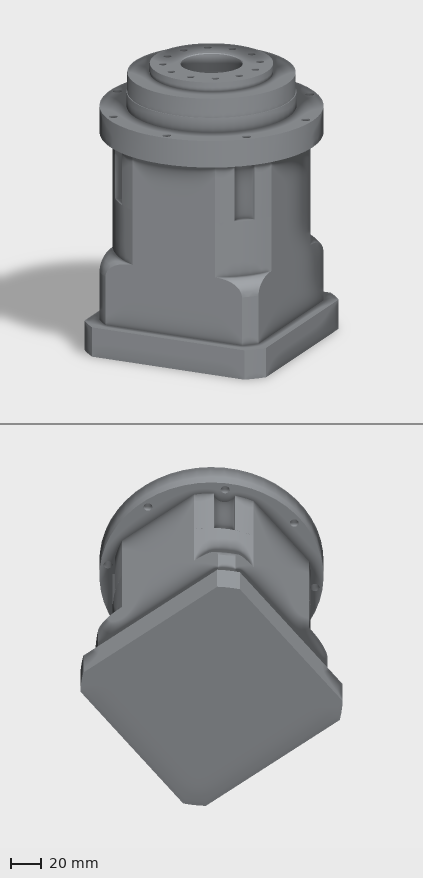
import cadquery as cq
import math

plate_top = 20.0
motor_housing_top = 72.4
ring_top = 100.8
flange_bottom = 141.4
flange_top = 159.5
pilot_top = 169.3
collar_top = 182.3
overall_height = 188.5

plate_width = 130.0
plate_corner_radius = 169.8 / 2

column_width = 113.9
column_corner_radius = 64.0

shoulder_radius = 75.0
shoulder_round = shoulder_radius - column_corner_radius
shoulder_top = 63.7

access_radius = 6.5
access_y = -18.1
access_z = 34.7
access_depth = 18.8
access_end_radius = 13.5

flange_radius = 145.0 / 2
pilot_radius = 55.0
collar_radius = 54.5
output_radius = 40.0

bore_radius = 20.0
bore_depth = 12.0
bore_chamfer = 0.5

output_hole_count = 12
output_hole_circle = 31.5
output_hole_radius = 2.5
output_hole_depth = 9.5
drill_half_angle = 59.0

flange_hole_count = 8
flange_hole_circle = 67.5
flange_hole_radius = 2.8
groove_count = 4
groove_circle = 64.8
groove_radius = 7.0


def cylinder(radius, bottom, top):
    """Round disc on the Z axis between two heights."""
    return cq.Workplane("XY").workplane(offset=bottom).circle(radius).extrude(top - bottom)


def rounded_square(width, corner_radius, bottom, top):
    """Square column whose corners lie on one circle about the Z axis."""
    column = cq.Workplane("XY").workplane(offset=bottom).rect(width, width).extrude(top - bottom)
    return column.intersect(cylinder(corner_radius, bottom, top))


def circle_of_points(radius, count, start_angle=0.0):
    """Points evenly spaced on a circle about the Z axis."""
    angles = [math.radians(start_angle + i * 360 / count) for i in range(count)]
    return [(radius * math.cos(a), radius * math.sin(a)) for a in angles]


def make_adapter_plate():
    """Flat plate at the bottom, wider than the column above it."""
    return rounded_square(plate_width, plate_corner_radius, 0, plate_top)


def access_bore(depth):
    """Straight bore along +X from the -X face of the motor housing."""
    face_x = -column_width / 2
    return cq.Workplane("YZ", origin=(face_x, access_y, access_z)).circle(access_radius).extrude(depth)


def make_access_hole():
    """Bore along +X that stops at a concave, upright cylindrical wall."""
    straight_depth = access_depth - access_end_radius
    end_axis = (straight_depth - column_width / 2, access_y, 0)
    end_cylinder = cylinder(access_end_radius, plate_top, motor_housing_top).translate(end_axis)
    return access_bore(access_depth).intersect(end_cylinder).union(access_bore(straight_depth))


def make_motor_housing():
    """Square column cut to a round envelope that has shouldered corners."""
    shoulder_bottom = shoulder_top - shoulder_round
    arc_offset = shoulder_round * math.sqrt(0.5)
    arc_middle = (column_corner_radius + arc_offset, shoulder_bottom + arc_offset)
    envelope = (
        cq.Workplane("XZ")
        .moveTo(0, plate_top)
        .lineTo(shoulder_radius, plate_top)
        .lineTo(shoulder_radius, shoulder_bottom)
        .threePointArc(arc_middle, (column_corner_radius, shoulder_top))
        .lineTo(column_corner_radius, motor_housing_top)
        .lineTo(0, motor_housing_top)
        .close()
        .revolve(360, (0, 0, 0), (0, 1, 0))
    )
    height = motor_housing_top - plate_top
    column = cq.Workplane("XY").workplane(offset=plate_top).rect(column_width, column_width).extrude(height)
    return column.intersect(envelope).cut(make_access_hole())


def make_ring():
    """Plain section between the motor housing and the output housing."""
    return rounded_square(column_width, column_corner_radius, motor_housing_top, ring_top)


def make_output_hole():
    """Drilled hole with a conical end, at the origin of its pattern."""
    tip_length = output_hole_radius / math.tan(math.radians(drill_half_angle))
    hole_bottom = overall_height - output_hole_depth
    return (
        cq.Workplane("XZ")
        .moveTo(0, overall_height)
        .lineTo(output_hole_radius, overall_height)
        .lineTo(output_hole_radius, hole_bottom)
        .lineTo(0, hole_bottom - tip_length)
        .close()
        .revolve(360, (0, 0, 0), (0, 1, 0))
    )


def make_output_housing():
    """Grooved neck, drilled flange and the round steps up to the output face."""
    neck = rounded_square(column_width, column_corner_radius, ring_top, flange_bottom)
    for x, y in circle_of_points(groove_circle, groove_count, 45):
        neck = neck.cut(cylinder(groove_radius, ring_top, flange_bottom).translate((x, y, 0)))

    flange = cylinder(flange_radius, flange_bottom, flange_top)
    for x, y in circle_of_points(flange_hole_circle, flange_hole_count):
        flange = flange.cut(cylinder(flange_hole_radius, flange_bottom, flange_top).translate((x, y, 0)))

    housing = (
        neck.union(flange)
        .union(cylinder(pilot_radius, flange_top, pilot_top))
        .union(cylinder(collar_radius, pilot_top, collar_top))
        .union(cylinder(output_radius, collar_top, overall_height))
    )

    bore = cylinder(bore_radius, overall_height - bore_depth, overall_height)
    bore_mouth = (
        cq.Workplane("XY")
        .workplane(offset=overall_height)
        .circle(bore_radius + bore_chamfer)
        .extrude(-bore_chamfer, taper=45)
    )
    housing = housing.cut(bore).cut(bore_mouth)

    output_hole = make_output_hole()
    for x, y in circle_of_points(output_hole_circle, output_hole_count):
        housing = housing.cut(output_hole.translate((x, y, 0)))
    return housing


adapter_plate = make_adapter_plate()
motor_housing = make_motor_housing()
ring = make_ring()
output_housing = make_output_housing()

result = cq.Compound.makeCompound(
    [adapter_plate.val(), motor_housing.val(), ring.val(), output_housing.val()]
)